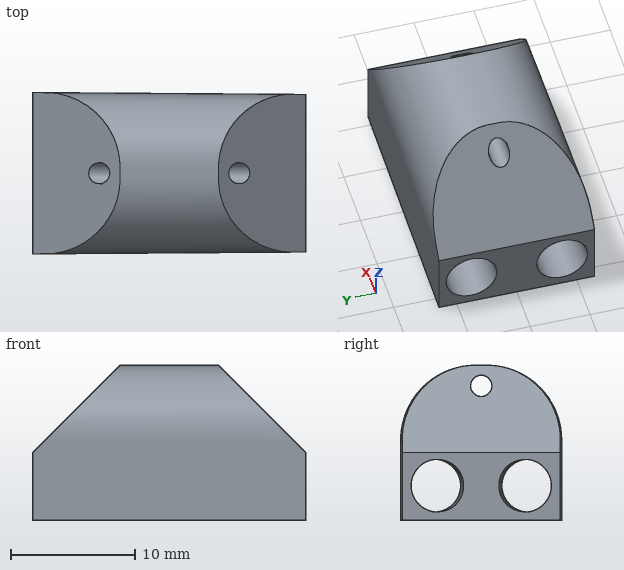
import cadquery as cq
import math

length = 22.0
wide_end = 13.0
narrow_end = 12.7
height = 12.5
shoulder_radius = 6.0
ramp_run = 7.05

bore_diameter = 4.22
bore_offset = 3.78
bore_height = 2.8
bore_shift = 0.26

crown_hole_diameter = 1.7
crown_hole_height = 10.82

overrun = 1.1
half_length = length / 2


def body():
    """Tapered block with rounded shoulders and a ramp at each end."""
    plan = [
        (-half_length, -wide_end / 2),
        (half_length, -narrow_end / 2),
        (half_length, narrow_end / 2),
        (-half_length, wide_end / 2),
    ]
    block = cq.Workplane("XY").polyline(plan).close().extrude(height)
    long_top_edges = block.faces(">Z").edges("not |Y")
    rounded = long_top_edges.fillet(shoulder_radius)

    ramp_foot = height - ramp_run
    ramp_top = half_length - ramp_run
    side_outline = [
        (-half_length, 0),
        (half_length, 0),
        (half_length, ramp_foot),
        (ramp_top, height),
        (-ramp_top, height),
        (-half_length, ramp_foot),
    ]
    envelope = cq.Workplane("XZ").polyline(side_outline).close().extrude(wide_end / 2, both=True)
    return rounded.intersect(envelope)


def through_hole(diameter, y_start, z, y_shift=0.0):
    """Cutter running from the -X face to the +X face, moving y_shift sideways."""
    direction = cq.Vector(length, y_shift, 0).normalized()
    start = cq.Vector(-half_length, y_start, z) - direction * overrun
    run = math.hypot(length, y_shift) + 2 * overrun
    return cq.Workplane(cq.Solid.makeCylinder(diameter / 2, run, start, direction))


result = body().cut(through_hole(crown_hole_diameter, 0, crown_hole_height))
for side in (-1, 1):
    bore = through_hole(bore_diameter, side * bore_offset, bore_height, -side * bore_shift)
    result = result.cut(bore)